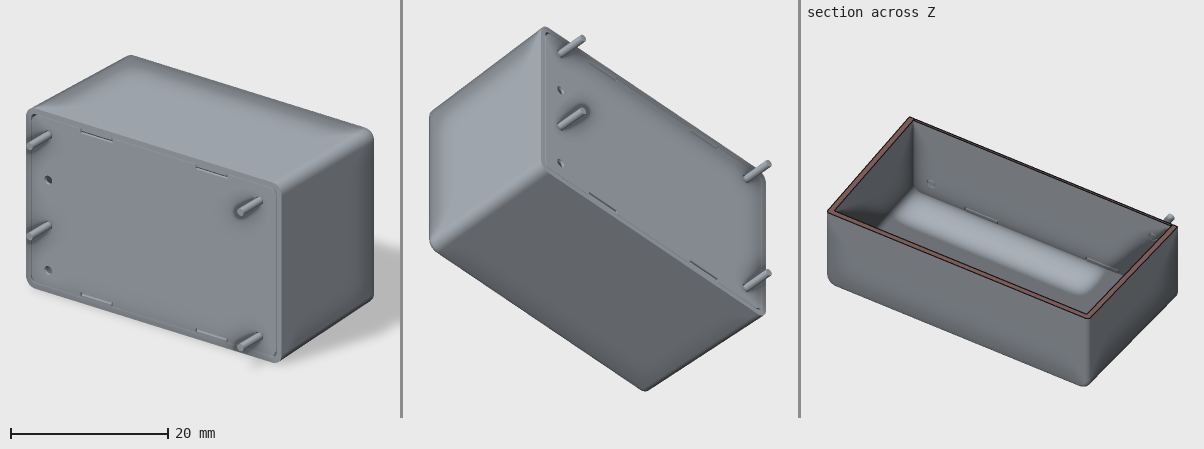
import cadquery as cq

HOUSING_WIDTH = 40.0
HOUSING_HEIGHT = 25.4
HOUSING_DEPTH = 21.0
DRAFT_ANGLE = 1.2
WALL = 0.8
OUTER_CORNER_RADIUS = 1.5
BACK_EDGE_RADIUS = 0.5
CAVITY_CORNER_RADIUS = OUTER_CORNER_RADIUS - WALL

COVER_THICKNESS = 0.4
COVER_CORNER_RADIUS = 1.2
COVER_CLEARANCE = 0.06

TAB_SPACING = 18.0
TAB_WIDTH = 4.7
TAB_HEIGHT = 0.5
TAB_CHAMFER = 0.2
NOTCH_CLEARANCE = 0.15

PIN_DIAMETER = 1.0
PIN_PROJECTION = 4.1
HOLE_DIAMETER = 1.2
COLUMN_SPACING = 33.0
ROW_COUNT = 4
ROW_PITCH = 6.35

OPENING_WIDTH = HOUSING_WIDTH - 2 * WALL
OPENING_HEIGHT = HOUSING_HEIGHT - 2 * WALL
LEFT_COLUMN = -COLUMN_SPACING / 2
RIGHT_COLUMN = COLUMN_SPACING / 2
ROWS = [(row - (ROW_COUNT - 1) / 2) * ROW_PITCH for row in range(ROW_COUNT)]
PIN_PLACES = [
    (LEFT_COLUMN, ROWS[1]),
    (LEFT_COLUMN, ROWS[3]),
    (RIGHT_COLUMN, ROWS[0]),
    (RIGHT_COLUMN, ROWS[3]),
]
EMPTY_HOLE_PLACES = [
    (LEFT_COLUMN, ROWS[0]),
    (LEFT_COLUMN, ROWS[2]),
]


def front_plane(y=0.0):
    """Sketch plane facing -Y: local x is X, local y is Z. The rim lies at y = 0."""
    return cq.Workplane("XZ", origin=(0, y, 0))


def drafted_block(width, height, depth, corner_radius):
    """Block from y = 0 to y = depth, leaning inwards, with one radius along its four corners."""
    block = front_plane().rect(width, height).extrude(-depth, taper=DRAFT_ANGLE)
    return block.edges("not #Y").fillet(corner_radius)


def tab_bars(width, inner_reach):
    """Four bars along the long walls, rooted in the wall, standing inner_reach into the opening."""
    root = WALL / 2
    bar_height = inner_reach + root
    bar_center = OPENING_HEIGHT / 2 - inner_reach + bar_height / 2
    return (
        front_plane()
        .rect(TAB_SPACING, 2 * bar_center, forConstruction=True)
        .vertices()
        .rect(width, bar_height)
        .extrude(-COVER_THICKNESS)
    )


def chamfer_tabs(tabs):
    """Bevel the edge of each tab where its free long side meets the rim plane."""
    tip = OPENING_HEIGHT / 2 - TAB_HEIGHT
    tip_edges = tabs.faces("<Y").edges("|X").filter(
        lambda edge: abs(abs(edge.Center().z) - tip) < TAB_CHAMFER
    )
    return tip_edges.chamfer(TAB_CHAMFER)


def make_housing():
    shell = drafted_block(HOUSING_WIDTH, HOUSING_HEIGHT, HOUSING_DEPTH, OUTER_CORNER_RADIUS)
    shell = shell.faces(">Y").edges().fillet(BACK_EDGE_RADIUS)
    cavity = drafted_block(
        OPENING_WIDTH, OPENING_HEIGHT, HOUSING_DEPTH - WALL, CAVITY_CORNER_RADIUS
    )
    tabs = tab_bars(TAB_WIDTH, TAB_HEIGHT)
    return shell.cut(cavity).union(chamfer_tabs(tabs))


def make_cover():
    plate = drafted_block(
        OPENING_WIDTH - 2 * COVER_CLEARANCE,
        OPENING_HEIGHT - 2 * COVER_CLEARANCE,
        COVER_THICKNESS,
        COVER_CORNER_RADIUS,
    )
    notches = tab_bars(TAB_WIDTH + 2 * NOTCH_CLEARANCE, TAB_HEIGHT + NOTCH_CLEARANCE)
    holes = (
        front_plane()
        .pushPoints(PIN_PLACES + EMPTY_HOLE_PLACES)
        .circle(HOLE_DIAMETER / 2)
        .extrude(-COVER_THICKNESS)
    )
    return plate.cut(notches).cut(holes)


def make_pin(x, z):
    """Straight pin from the inner face of the cover out past the rim."""
    return (
        front_plane(COVER_THICKNESS)
        .center(x, z)
        .circle(PIN_DIAMETER / 2)
        .extrude(COVER_THICKNESS + PIN_PROJECTION)
    )


housing = make_housing()
cover = make_cover()
pins = [make_pin(x, z) for x, z in PIN_PLACES]

result = cq.Compound.makeCompound([housing.val(), cover.val(), *[pin.val() for pin in pins]])